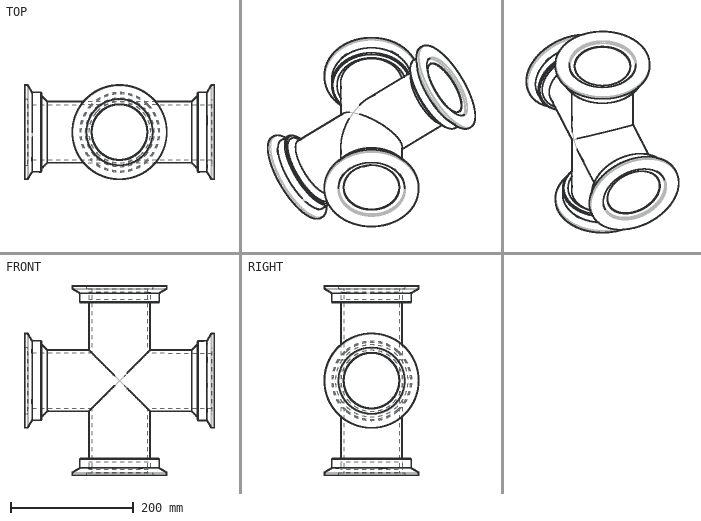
import cadquery as cq
import math

overall_length = 309.0
arm_length = overall_length / 2

tube_radius = 100.0 / 2
bore_radius = 90.0 / 2

flange_radius = 154.0 / 2
flange_edge_round = 1.0
rim_depth = 5.0
rim_corner_round = 2.0
rim_slope_angle = 60.0
hub_radius = 130.0 / 2
hub_depth = 28.0
hub_chamfer = 2.0
hub_corner_round = 1.0

recess_radius = 54.0
recess_depth = 4.5
recess_round = 1.0
bore_mouth_chamfer = 0.75

weld_size = 9.0

socket_radius = 100.5 / 2
socket_chamfer = 6.0
socket_end_depth = 10.0

hub_back = arm_length - hub_depth
recess_floor = arm_length - recess_depth


def revolve_about_z(outline):
    return outline.close().revolve(360, (0, 0, 0), (0, 1, 0))


def round_circle(body, radius, height, size):
    """Round the circular edge of the given radius at the given height."""
    margin = 0.01
    box = cq.selectors.BoxSelector(
        (-radius - margin, -radius - margin, height - margin),
        (radius + margin, radius + margin, height + margin),
        boundingbox=True,
    )
    return body.edges("%CIRCLE").edges(box).fillet(size)


def flange():
    """Flange with a hub, sealing face at the end of the +Z arm."""
    rim_back = arm_length - rim_depth
    slope_length = (flange_radius - hub_radius) / math.tan(math.radians(rim_slope_angle))
    slope_end = rim_back - slope_length
    outline = (
        cq.Workplane("XZ")
        .moveTo(0, arm_length)
        .lineTo(flange_radius, arm_length)
        .lineTo(flange_radius, rim_back)
        .lineTo(hub_radius, slope_end)
        .lineTo(hub_radius, hub_back + hub_chamfer)
        .lineTo(hub_radius - hub_chamfer, hub_back)
        .lineTo(0, hub_back)
    )
    body = revolve_about_z(outline)
    body = round_circle(body, flange_radius, arm_length, flange_edge_round)
    body = round_circle(body, flange_radius, rim_back, rim_corner_round)
    return round_circle(body, hub_radius, slope_end, hub_corner_round)


def tube():
    return cq.Workplane("XY").circle(tube_radius).extrude(recess_floor)


def weld_fillet():
    """Cone that joins the back of the hub to the tube."""
    weld_end = hub_back - weld_size
    outline = (
        cq.Workplane("XZ")
        .moveTo(0, hub_back)
        .lineTo(tube_radius + weld_size, hub_back)
        .lineTo(tube_radius, weld_end)
        .lineTo(0, weld_end)
    )
    return revolve_about_z(outline)


def tube_socket():
    """Clearance for the tube in the hub, with a chamfered mouth at the back of the hub."""
    socket_end = arm_length - socket_end_depth
    outline = (
        cq.Workplane("XZ")
        .moveTo(0, hub_back)
        .lineTo(socket_radius + socket_chamfer, hub_back)
        .lineTo(socket_radius, hub_back + socket_chamfer)
        .lineTo(socket_radius, socket_end)
        .lineTo(0, socket_end)
    )
    return revolve_about_z(outline)


def arm_hollow():
    """Bore of one arm with the rounded recess in its sealing face."""
    outline = (
        cq.Workplane("XZ")
        .moveTo(0, 0)
        .lineTo(bore_radius, 0)
        .lineTo(bore_radius, recess_floor - bore_mouth_chamfer)
        .lineTo(bore_radius + bore_mouth_chamfer, recess_floor)
        .lineTo(recess_radius - recess_round, recess_floor)
        .radiusArc((recess_radius, recess_floor + recess_round), -recess_round)
        .lineTo(recess_radius, arm_length - recess_round)
        .radiusArc((recess_radius + recess_round, arm_length), recess_round)
        .lineTo(0, arm_length)
    )
    return revolve_about_z(outline)


def turned(shape, angle):
    """Turn a +Z arm about the Y axis."""
    return shape.rotate((0, 0, 0), (0, 1, 0), angle)


z_arm = flange().cut(tube_socket()).union(tube())
x_arm = flange().union(tube()).union(weld_fillet())

arms = ((z_arm, 0), (x_arm, 90), (z_arm, 180), (x_arm, 270))

result = turned(*arms[0])
for arm, angle in arms[1:]:
    result = result.union(turned(arm, angle))
for arm, angle in arms:
    result = result.cut(turned(arm_hollow(), angle))